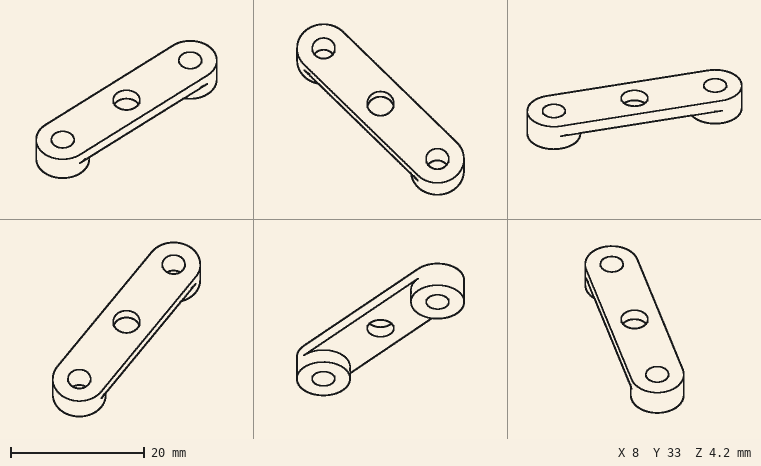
import cadquery as cq

length = 33.03
width = 8.0
height = 4.2

plate_thickness = 1.88
end_hole_diameter = 3.4
center_hole_diameter = 4.0

boss_spacing = length - width
boss_centers = [(0, -boss_spacing / 2), (0, boss_spacing / 2)]


def make_plate():
    """Flat bar between the boss centers, flush with the top of the part."""
    return (
        cq.Workplane("XY")
        .workplane(offset=height - plate_thickness)
        .rect(width, boss_spacing)
        .extrude(plate_thickness)
    )


def make_bosses():
    """Full-height round bosses at both ends of the link."""
    return cq.Workplane("XY").pushPoints(boss_centers).circle(width / 2).extrude(height)


def make_holes():
    """Through holes in the bosses and at the middle of the plate."""
    end_holes = cq.Workplane("XY").pushPoints(boss_centers).circle(end_hole_diameter / 2).extrude(height)
    center_hole = cq.Workplane("XY").circle(center_hole_diameter / 2).extrude(height)
    return end_holes.union(center_hole)


result = make_plate().union(make_bosses()).cut(make_holes())